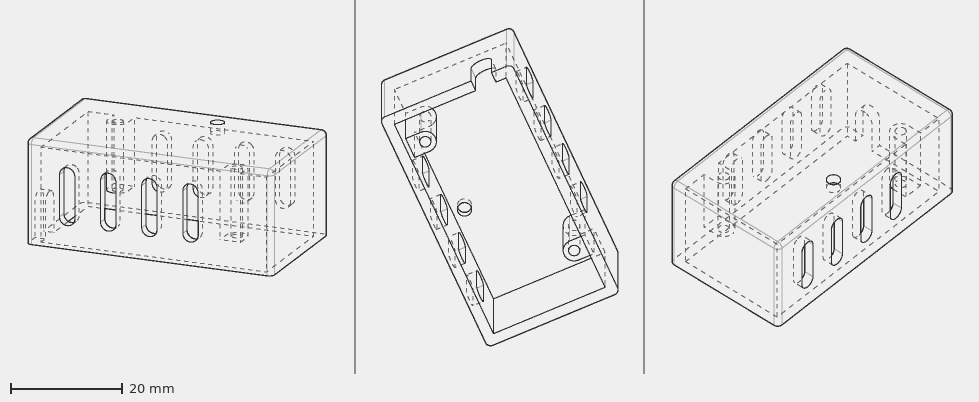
import cadquery as cq

LENGTH = 48.0
WIDTH = 26.0
HEIGHT = 20.0
WALL = 2.0
EDGE_RADIUS = 1.0

SLOT_WIDTH = 3.0
SLOT_HEIGHT = 11.0
SLOT_PITCH = 8.0
SLOT_CENTER_Z = HEIGHT / 2
FRONT_SLOT_STEPS = (-2, -1, 0, 1)

BOSS_DIAMETER = 4.0
BOSS_X = 15.0
BOSS_Y = 8.0
BOSS_BOTTOM_Z = 5.0
SCREW_HOLE_DIAMETER = 2.0

NOTCH_WIDTH = 4.0
NOTCH_HEIGHT = 8.5
NOTCH_Y = -7.0

ROOF_HOLE_DIAMETER = 2.6
ROOF_HOLE_X = 4.2
ROOF_HOLE_Y = 8.8

CAVITY_HEIGHT = HEIGHT - WALL


def make_shell():
    outer = (
        cq.Workplane("XY")
        .box(LENGTH, WIDTH, HEIGHT, centered=(True, True, False))
        .edges("|Z or >Z")
        .fillet(EDGE_RADIUS)
    )
    cavity = cq.Workplane("XY").box(
        LENGTH - 2 * WALL, WIDTH - 2 * WALL, CAVITY_HEIGHT, centered=(True, True, False)
    )
    return outer.cut(cavity)


def make_boss(side):
    """Round-ended boss joined to the front wall (side = 1) or rear wall (side = -1)."""
    x = side * BOSS_X
    y = -side * BOSS_Y
    wall_center_y = -side * (WIDTH - WALL) / 2
    boss_height = HEIGHT - WALL / 2 - BOSS_BOTTOM_Z
    base = cq.Workplane("XY").workplane(offset=BOSS_BOTTOM_Z)
    post = base.center(x, y).circle(BOSS_DIAMETER / 2).extrude(boss_height)
    web = (
        base.center(x, (y + wall_center_y) / 2)
        .rect(BOSS_DIAMETER, abs(wall_center_y - y))
        .extrude(boss_height)
    )
    screw_hole = (
        base.center(x, y)
        .circle(SCREW_HOLE_DIAMETER / 2)
        .extrude(CAVITY_HEIGHT - BOSS_BOTTOM_Z)
    )
    return post.union(web).cut(screw_hole)


def make_slots(side):
    """Slots through one long wall; the rear row is the front row turned half a turn about Z."""
    centers = [(side * step * SLOT_PITCH, SLOT_CENTER_Z) for step in FRONT_SLOT_STEPS]
    return (
        cq.Workplane("XZ", origin=(0, -side * (WIDTH - WALL) / 2, 0))
        .pushPoints(centers)
        .slot2D(SLOT_HEIGHT, SLOT_WIDTH, 90)
        .extrude(WALL / 2, both=True)
    )


def make_notch():
    radius = NOTCH_WIDTH / 2
    shoulder_z = NOTCH_HEIGHT - radius
    return (
        cq.Workplane("YZ", origin=(-LENGTH / 2, NOTCH_Y, 0))
        .moveTo(-radius, 0)
        .lineTo(-radius, shoulder_z)
        .threePointArc((0, NOTCH_HEIGHT), (radius, shoulder_z))
        .lineTo(radius, 0)
        .close()
        .extrude(WALL)
    )


def make_roof_hole():
    return (
        cq.Workplane("XY", origin=(ROOF_HOLE_X, ROOF_HOLE_Y, CAVITY_HEIGHT))
        .circle(ROOF_HOLE_DIAMETER / 2)
        .extrude(WALL)
    )


result = make_shell()
for wall_side in (1, -1):
    result = result.union(make_boss(wall_side))
    result = result.cut(make_slots(wall_side))
result = result.cut(make_notch()).cut(make_roof_hole())